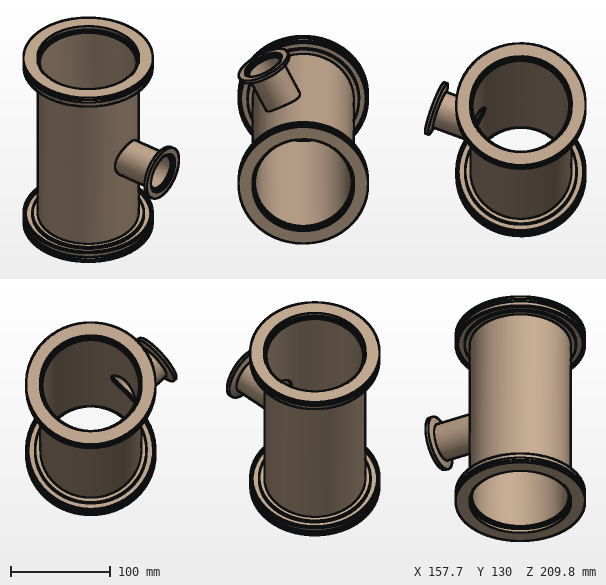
import cadquery as cq
import math

overall_height = 209.8
tube_od = 101.5
tube_id = 97.0

flange_od = 130.0
flange_thickness = 12.0
flange_recess_diameter = 102.2
flange_recess_depth = 4.5
flange_lip_diameter = 98.6
tube_setback = 6.5
back_chamfer = 0.6
rim_groove_start = 3.1
rim_groove_width = 3.0
rim_groove_depth = 1.5
back_groove_id = 112.5
back_groove_od = 125.0
back_groove_depth = 2.0
back_groove_chamfer = 0.6

branch_od = 38.2
branch_id = 35.0
branch_face_x = 92.7

branch_flange_od = 55.0
branch_rim_thickness = 3.4
branch_flange_thickness = 5.9
taper_angle = 15.0
branch_recess_diameter = 41.1
branch_recess_depth = 2.5
branch_lip_diameter = 36.3
branch_setback = 3.5


def cylinder_z(diameter, bottom, top):
    return cq.Workplane("XY").workplane(offset=bottom).circle(diameter / 2).extrude(top - bottom)


def cylinder_x(diameter, start, end):
    return cq.Workplane("YZ").workplane(offset=start).circle(diameter / 2).extrude(end - start)


def make_main_tube():
    """Straight tube with a side port that opens into the branch."""
    half_length = overall_height / 2 - tube_setback
    tube = cylinder_z(tube_od, -half_length, half_length)
    bore = cylinder_z(tube_id, -half_length, half_length)
    port = cylinder_x(branch_id, 0, tube_od)
    return tube.cut(bore).cut(port)


def make_end_flange():
    """Upper flange: recessed face, welding lip, tube socket, and grooves in the rim and back."""
    face_z = overall_height / 2
    back_z = face_z - flange_thickness
    rim_radius = flange_od / 2
    groove_top = face_z - rim_groove_start
    groove_bottom = groove_top - rim_groove_width
    groove_middle = (groove_top + groove_bottom) / 2
    profile = (
        cq.Workplane("XZ")
        .moveTo(0, back_z)
        .lineTo(rim_radius - back_chamfer, back_z)
        .lineTo(rim_radius, back_z + back_chamfer)
        .lineTo(rim_radius, groove_bottom)
        .threePointArc((rim_radius - rim_groove_depth, groove_middle), (rim_radius, groove_top))
        .lineTo(rim_radius, face_z)
        .lineTo(0, face_z)
        .close()
    )
    disc = profile.revolve(360, (0, 0, 0), (0, 1, 0))
    recess = cylinder_z(flange_recess_diameter, face_z - flange_recess_depth, face_z)
    lip_bore = cylinder_z(flange_lip_diameter, back_z, face_z)
    socket = cylinder_z(tube_od, back_z, face_z - tube_setback)
    groove_floor_z = back_z + back_groove_depth
    back_groove = (
        cq.Workplane("XZ")
        .moveTo(back_groove_id / 2 - back_groove_chamfer, back_z)
        .lineTo(back_groove_id / 2, back_z + back_groove_chamfer)
        .lineTo(back_groove_id / 2, groove_floor_z)
        .lineTo(back_groove_od / 2, groove_floor_z)
        .lineTo(back_groove_od / 2, back_z + back_groove_chamfer)
        .lineTo(back_groove_od / 2 + back_groove_chamfer, back_z)
        .close()
        .revolve(360, (0, 0, 0), (0, 1, 0))
    )
    return disc.cut(recess).cut(lip_bore).cut(socket).cut(back_groove)


def make_branch_tube():
    """Side tube whose inner end is shaped to sit on the main tube."""
    branch = cylinder_x(branch_od, 0, branch_face_x - branch_setback)
    bore = cylinder_x(branch_id, 0, branch_face_x)
    return branch.cut(bore).cut(cylinder_z(tube_od, -branch_od, branch_od))


def make_branch_flange():
    """Clamp flange with a tapered back, a recessed face, a welding lip and a tube socket."""
    rim_radius = branch_flange_od / 2
    back_x = branch_face_x - branch_flange_thickness
    rim_back_x = branch_face_x - branch_rim_thickness
    taper_length = branch_flange_thickness - branch_rim_thickness
    back_radius = rim_radius - taper_length / math.tan(math.radians(taper_angle))
    disc = (
        cq.Workplane("XZ")
        .moveTo(back_x, 0)
        .lineTo(back_x, back_radius)
        .lineTo(rim_back_x, rim_radius)
        .lineTo(branch_face_x, rim_radius)
        .lineTo(branch_face_x, 0)
        .close()
        .revolve(360, (0, 0, 0), (1, 0, 0))
    )
    recess = cylinder_x(branch_recess_diameter, branch_face_x - branch_recess_depth, branch_face_x)
    lip_bore = cylinder_x(branch_lip_diameter, back_x, branch_face_x)
    socket = cylinder_x(branch_od, back_x, branch_face_x - branch_setback)
    return disc.cut(recess).cut(lip_bore).cut(socket)


main_tube = make_main_tube()
branch_tube = make_branch_tube()
branch_flange = make_branch_flange()
end_flanges = [make_end_flange().rotate((0, 0, 0), (1, 0, 0), turn).val() for turn in (0, 180)]

result = cq.Compound.makeCompound(
    [main_tube.val(), *end_flanges, branch_tube.val(), branch_flange.val()]
)